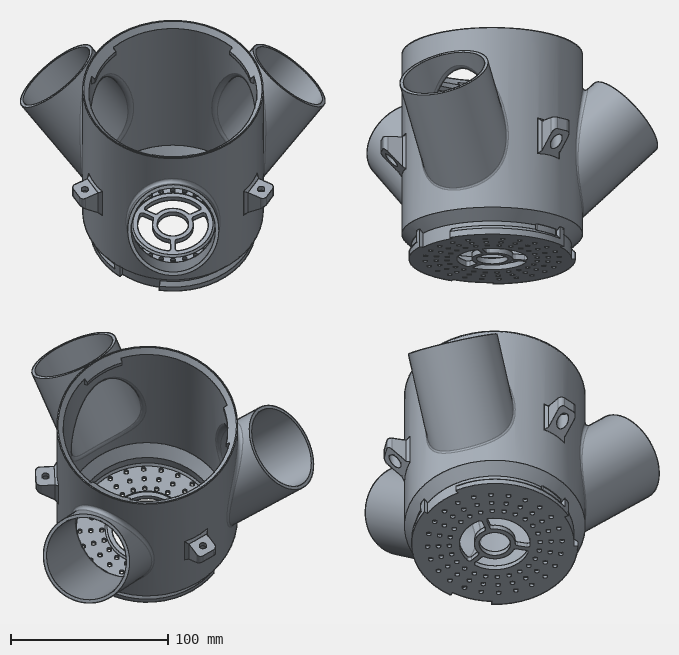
import cadquery as cq
import math

OVERALL_WIDTH = 194.0
TOTAL_HEIGHT = 136.5
TUBE_RADIUS = 115.0 / 2
BORE_RADIUS = 107.0 / 2
NECK_RADIUS = 50.5
NECK_BORE_RADIUS = 93.0 / 2
NECK_HEIGHT = 9.5
OUTER_CONE_TOP = NECK_HEIGHT + TUBE_RADIUS - NECK_RADIUS
INNER_CONE_BOTTOM = 10.9
INNER_CONE_TOP = INNER_CONE_BOTTOM + BORE_RADIUS - NECK_BORE_RADIUS
RIM_WIDTH = 0.8
MOUTH_RADIUS = TUBE_RADIUS - RIM_WIDTH

FLOOR_THICKNESS = 2.3
FLOOR_BEVEL = 1.45
HUB_BASE_RADIUS = 53.5 / 2
HUB_TOP_RADIUS = 51.0 / 2
HUB_RISE = HUB_BASE_RADIUS - HUB_TOP_RADIUS
HUB_HOLE_DIAMETER = 20.0
WINDOW_INNER_RADIUS = 13.0
WINDOW_OUTER_RADIUS = 22.5
SPOKE_WIDTH = 3.0
WINDOW_CORNER_RADIUS = 1.7
DRAIN_HOLE_DIAMETER = 3.0
DRAIN_CIRCLE_RADII = (29.0, 35.9, 42.9)
DRAIN_HOLES_PER_CIRCLE = 24

BRANCH_ANGLES = (90, 210, 330)
BRANCH_RADIUS = 58.0 / 2
BRANCH_BORE_RADIUS = 53.5 / 2
BRANCH_TILT = 45
BRANCH_HALF_SPREAD = BRANCH_RADIUS * math.sqrt(
    1 - (math.cos(math.radians(BRANCH_TILT)) * math.cos(math.radians(30))) ** 2
)
BRANCH_END_REACH = (OVERALL_WIDTH / 2 - BRANCH_HALF_SPREAD) / math.cos(math.radians(30))
BRANCH_END_HEIGHT = 99.2
BRANCH_START_REACH = 29.1
BRANCH_LENGTH = (BRANCH_END_REACH - BRANCH_START_REACH) / math.cos(math.radians(BRANCH_TILT))
OUTER_FILLET = 2.0
INNER_FILLET = 3.9

TAB_ANGLES = (30, 150, 270)
TAB_WIDTH = 13.5
TAB_REACH = 71.0
TAB_TOP = 76.5
TAB_EDGE_HEIGHT = 7.5
TAB_CORNER_RADIUS = 3.0
TAB_ROOT_REACH = 57.0
TAB_ROOT_BEVEL = 2.0
TAB_ANCHOR_REACH = 55.1
TAB_HOLE_REACH = 64.8
TAB_HOLE_DIAMETER = 4.5
TAB_COUNTERBORE_DIAMETER = 7.5
TAB_SHELF = 3.9

LUG_ANGLES = (90, 210, 330)
LUG_SPAN = 30
LUG_INNER_RADIUS = 51.2
LUG_HEIGHT = 3.1

FLANGE_START_ANGLES = (-39.6, 80.4, 200.4)
FLANGE_SPAN = 90.0
FLANGE_RADIUS = 53.0
FLANGE_HEIGHT = 4.0
STOP_SPAN = 5.0
STOP_HEIGHT = 12.0
DETENT_START = 63.6
DETENT_SPAN = 20.0
DETENT_END_BEVEL = 0.8
DETENT_RADIUS = 51.5
DETENT_BOTTOM = 5.8
DETENT_TOP = 10.0


def turn(shape, angle):
    """Rotate a shape about the vertical axis of the tube."""
    return shape.rotate((0, 0, 0), (0, 0, 1), angle)


def revolve(points, start=-90, span=360):
    """Revolve a (radius, height) outline about Z from the start angle."""
    outline = cq.Workplane("XZ").polyline(points).close()
    return turn(outline.revolve(span, (0, 0, 0), (0, 1, 0)), start)


def outer_body():
    """Solid tube with its narrower neck at the bottom."""
    return revolve([
        (0, 0),
        (NECK_RADIUS, 0),
        (NECK_RADIUS, NECK_HEIGHT),
        (TUBE_RADIUS, OUTER_CONE_TOP),
        (TUBE_RADIUS, TOTAL_HEIGHT),
        (0, TOTAL_HEIGHT),
    ])


def cavity():
    """Inside of the tube, leaving the floor with its raised hub."""
    return revolve([
        (0, FLOOR_THICKNESS + HUB_RISE),
        (HUB_TOP_RADIUS, FLOOR_THICKNESS + HUB_RISE),
        (HUB_BASE_RADIUS, FLOOR_THICKNESS),
        (NECK_BORE_RADIUS - FLOOR_BEVEL, FLOOR_THICKNESS),
        (NECK_BORE_RADIUS, FLOOR_THICKNESS + FLOOR_BEVEL),
        (NECK_BORE_RADIUS, INNER_CONE_BOTTOM),
        (BORE_RADIUS, INNER_CONE_TOP),
        (BORE_RADIUS, TOTAL_HEIGHT),
        (0, TOTAL_HEIGHT),
    ])


def branch_cylinder(radius, angle):
    """Cylinder along a branch axis, from inside the tube to the branch mouth."""
    tilt = math.radians(BRANCH_TILT)
    start_height = BRANCH_END_HEIGHT - (BRANCH_END_REACH - BRANCH_START_REACH) * math.tan(tilt)
    start = cq.Vector(BRANCH_START_REACH, 0, start_height)
    direction = cq.Vector(math.cos(tilt), 0, math.sin(tilt))
    cylinder = cq.Solid.makeCylinder(radius, BRANCH_LENGTH, start, direction)
    return turn(cq.Workplane(cylinder), angle)


def round_junctions(body, radius):
    """Fillet the free-form curves where a branch meets the tube wall."""
    curves = body.edges().filter(lambda edge: edge.geomType() not in ("LINE", "CIRCLE"))
    return curves.fillet(radius)


def tab_block():
    """Tab pointing along +X: bevelled root, sloped underside, counterbored hole."""
    slope_foot = TAB_TOP - TAB_EDGE_HEIGHT - (TAB_REACH - TAB_ANCHOR_REACH)
    root_top = TAB_TOP + TAB_ROOT_BEVEL
    bevel_end = TAB_ROOT_REACH + TAB_ROOT_BEVEL
    full_height = root_top - slope_foot

    plate = (
        cq.Workplane("XY", origin=(0, 0, slope_foot))
        .rect(2 * TAB_REACH, TAB_WIDTH)
        .extrude(TAB_TOP - slope_foot)
        .edges("|Z and >X")
        .fillet(TAB_CORNER_RADIUS)
    )
    root = (
        cq.Workplane("XY", origin=(0, 0, slope_foot))
        .rect(2 * bevel_end, TAB_WIDTH + 2 * TAB_ROOT_BEVEL)
        .extrude(full_height)
        .faces(">X")
        .edges("|Z or >Z")
        .chamfer(TAB_ROOT_BEVEL)
    )
    side_outline = (
        cq.Workplane("XZ")
        .polyline([
            (TAB_ANCHOR_REACH, slope_foot),
            (TAB_REACH, TAB_TOP - TAB_EDGE_HEIGHT),
            (TAB_REACH, root_top),
            (TAB_ANCHOR_REACH, root_top),
        ])
        .close()
        .extrude(TAB_WIDTH, both=True)
    )
    hole_plane = cq.Workplane("XY", origin=(TAB_HOLE_REACH, 0, slope_foot))
    hole = hole_plane.circle(TAB_HOLE_DIAMETER / 2).extrude(full_height)
    counterbore = hole_plane.circle(TAB_COUNTERBORE_DIAMETER / 2).extrude(TAB_TOP - TAB_SHELF - slope_foot)
    return plate.union(root).intersect(side_outline).cut(hole).cut(counterbore)


def mouth_lug(angle):
    """Inward bayonet lug with a 45 degree underside, still reaching the rim."""
    root_radius = (BORE_RADIUS + MOUTH_RADIUS) / 2
    lug_bottom = TOTAL_HEIGHT - (MOUTH_RADIUS - LUG_INNER_RADIUS) - LUG_HEIGHT
    return revolve([
        (LUG_INNER_RADIUS, TOTAL_HEIGHT),
        (LUG_INNER_RADIUS, lug_bottom),
        (root_radius, lug_bottom - (root_radius - LUG_INNER_RADIUS)),
        (root_radius, TOTAL_HEIGHT),
    ], angle - LUG_SPAN / 2, LUG_SPAN)


def mouth_bevel():
    """45 degree cone that bevels the tube mouth and the tops of the lugs together."""
    return revolve([
        (0, TOTAL_HEIGHT - MOUTH_RADIUS),
        (MOUTH_RADIUS, TOTAL_HEIGHT),
        (0, TOTAL_HEIGHT),
    ])


def neck_flange(start):
    """Bevelled flange with an end stop and a raised detent above it."""
    root_radius = (NECK_BORE_RADIUS + NECK_RADIUS) / 2
    flange = revolve([
        (root_radius, 0),
        (FLANGE_RADIUS, 0),
        (FLANGE_RADIUS, FLANGE_HEIGHT),
        (root_radius, FLANGE_HEIGHT + FLANGE_RADIUS - root_radius),
    ], start, FLANGE_SPAN)
    stop = revolve([
        (root_radius, 0),
        (FLANGE_RADIUS, 0),
        (FLANGE_RADIUS, STOP_HEIGHT),
        (root_radius, STOP_HEIGHT),
    ], start + FLANGE_SPAN - STOP_SPAN, STOP_SPAN)
    detent = revolve([
        (root_radius, DETENT_BOTTOM),
        (DETENT_RADIUS, DETENT_BOTTOM),
        (DETENT_RADIUS, DETENT_TOP),
        (root_radius, DETENT_TOP),
    ], start + DETENT_START, DETENT_SPAN).edges("|Z").chamfer(DETENT_END_BEVEL)
    return flange.union(stop).union(detent)


def floor_openings():
    """Hub hole, three windows between spokes and the rings of drain holes."""
    depth = FLOOR_THICKNESS + HUB_RISE
    window_ring = (
        cq.Workplane("XY")
        .circle(WINDOW_OUTER_RADIUS)
        .circle(WINDOW_INNER_RADIUS)
        .extrude(depth)
    )
    for angle in BRANCH_ANGLES:
        spoke = (
            cq.Workplane("XY", origin=(HUB_TOP_RADIUS / 2, 0, 0))
            .rect(HUB_TOP_RADIUS, SPOKE_WIDTH)
            .extrude(depth)
        )
        window_ring = window_ring.cut(turn(spoke, angle))
    openings = window_ring.edges("|Z").fillet(WINDOW_CORNER_RADIUS)
    openings = openings.union(cq.Workplane("XY").circle(HUB_HOLE_DIAMETER / 2).extrude(depth))
    for radius in DRAIN_CIRCLE_RADII:
        drains = (
            cq.Workplane("XY")
            .polarArray(radius, 0, 360, DRAIN_HOLES_PER_CIRCLE)
            .circle(DRAIN_HOLE_DIAMETER / 2)
            .extrude(depth)
        )
        openings = openings.add(drains)
    return openings.combine()


body = outer_body()
void = cavity()
for angle in BRANCH_ANGLES:
    body = body.union(branch_cylinder(BRANCH_RADIUS, angle))
    void = void.union(branch_cylinder(BRANCH_BORE_RADIUS, angle))
body = round_junctions(body, OUTER_FILLET)
void = round_junctions(void, INNER_FILLET)

for angle in TAB_ANGLES:
    body = body.union(turn(tab_block(), angle))
body = body.cut(void)
for angle in LUG_ANGLES:
    body = body.union(mouth_lug(angle))
body = body.cut(mouth_bevel())

for start in FLANGE_START_ANGLES:
    body = body.union(neck_flange(start))

result = body.cut(floor_openings())